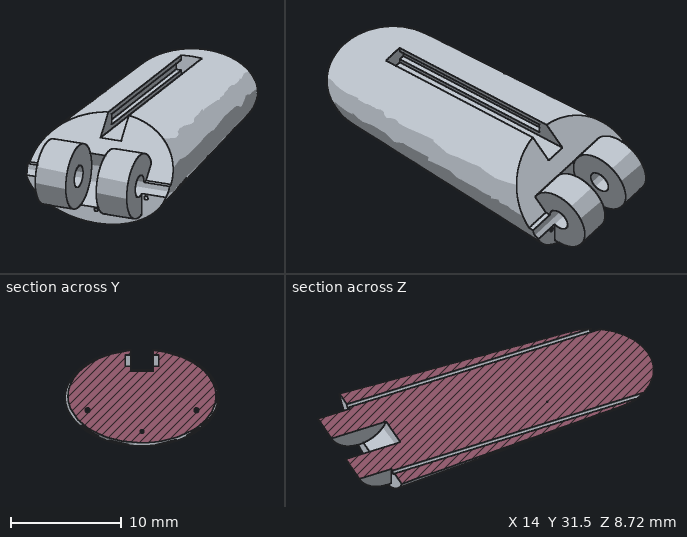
import cadquery as cq

knuckle_radius = 3.0
hinge_hole_radius = 1.0
knuckle_gap = 3.0
knuckle_width = 3.0

front_y = 0.47
front_half_width = 7.0
front_half_height = 4.5
dome_radius = 6.0
dome_half_height = 3.5
overall_length = 31.5
dome_y = overall_length - knuckle_radius - dome_radius

slope_start_y = 1.48
clearance_size = 9.45

slot_width = 2.02
slot_front_y = 3.9
slot_front_floor_z = 2.4
slot_back_floor_z = 1.58
wall_groove_depth = 0.5
wall_groove_height = 1.0
wall_groove_cover = 0.5
wall_groove_length = 16.0

side_cord_x = 4.9
side_cord_z = -1.25
side_cord_diameter = 0.38
bottom_cord_z = -3.18
bottom_cord_diameter = 0.3


def x_cylinder(radius, x_start, length):
    """Cylinder on the hinge axis."""
    return cq.Workplane("YZ", origin=(x_start, 0, 0)).circle(radius).extrude(length)


def ellipse_wire(y, half_width, half_height):
    """Ellipse centred on the Y axis, square to it."""
    return cq.Wire.makeEllipse(
        half_width,
        half_height,
        cq.Vector(0, y, 0),
        cq.Vector(0, 1, 0),
        cq.Vector(1, 0, 0),
    )


def tapered_body():
    front = ellipse_wire(front_y, front_half_width, front_half_height)
    back = ellipse_wire(dome_y, dome_radius, dome_half_height)
    return cq.Workplane(cq.Solid.makeLoft([front, back], True))


def dome():
    """Half of a sphere flattened in Z."""
    sphere = cq.Workplane("XY").sphere(dome_radius)
    tip_half = cq.Workplane("XY").box(
        2 * dome_radius, dome_radius, 2 * dome_radius, centered=(True, False, True)
    )
    flatten = cq.Matrix([
        [1, 0, 0, 0],
        [0, 1, 0, dome_y],
        [0, 0, dome_half_height / dome_radius, 0],
        [0, 0, 0, 1],
    ])
    return cq.Workplane(sphere.intersect(tip_half).val().transformGeometry(flatten))


def hinge_clearance():
    """Space above the ledge and the 45 degree slope."""
    return (
        cq.Workplane("YZ")
        .moveTo(-clearance_size, 0)
        .lineTo(slope_start_y, 0)
        .lineTo(slope_start_y + clearance_size, clearance_size)
        .lineTo(-clearance_size, clearance_size)
        .close()
        .extrude(clearance_size, both=True)
    )


def body_top_z(y):
    """Height of the top centre line of the tapered body."""
    taper = (front_half_height - dome_half_height) / (dome_y - front_y)
    return dome_half_height + taper * (dome_y - y)


def top_slot():
    """Slot open at the top and at the 45 degree slope, ending at the dome."""
    floor_slope = (slot_front_floor_z - slot_back_floor_z) / (dome_y - slot_front_y)
    floor_z_at_axis = slot_front_floor_z + floor_slope * slot_front_y
    return (
        cq.Workplane("YZ")
        .moveTo(0, floor_z_at_axis)
        .lineTo(dome_y, slot_back_floor_z)
        .lineTo(dome_y, front_half_height)
        .lineTo(0, front_half_height)
        .close()
        .extrude(slot_width / 2, both=True)
    )


def wall_grooves():
    """Both grooves as one bar across the slot, below a cover of even thickness."""
    groove_front_y = dome_y - wall_groove_length
    front_top_z = body_top_z(groove_front_y) - wall_groove_cover
    back_top_z = body_top_z(dome_y) - wall_groove_cover
    return (
        cq.Workplane("YZ")
        .moveTo(groove_front_y, front_top_z)
        .lineTo(dome_y, back_top_z)
        .lineTo(dome_y, back_top_z - wall_groove_height)
        .lineTo(groove_front_y, front_top_z - wall_groove_height)
        .close()
        .extrude(slot_width / 2 + wall_groove_depth, both=True)
    )


def cord_hole(x, z, diameter):
    """Through hole parallel to the Y axis."""
    front = cq.Plane(origin=(x, 0, z), xDir=(1, 0, 0), normal=(0, 1, 0))
    return cq.Workplane(front).circle(diameter / 2).extrude(overall_length)


result = tapered_body().union(dome()).cut(hinge_clearance()).cut(top_slot())
result = result.cut(wall_grooves())

for x_start in (-knuckle_gap / 2 - knuckle_width, knuckle_gap / 2):
    result = result.union(x_cylinder(knuckle_radius, x_start, knuckle_width))
result = result.cut(x_cylinder(knuckle_radius, -knuckle_gap / 2, knuckle_gap))
result = result.cut(x_cylinder(hinge_hole_radius, -front_half_width, 2 * front_half_width))

for x in (-side_cord_x, side_cord_x):
    result = result.cut(cord_hole(x, side_cord_z, side_cord_diameter))
result = result.cut(cord_hole(0, bottom_cord_z, bottom_cord_diameter))